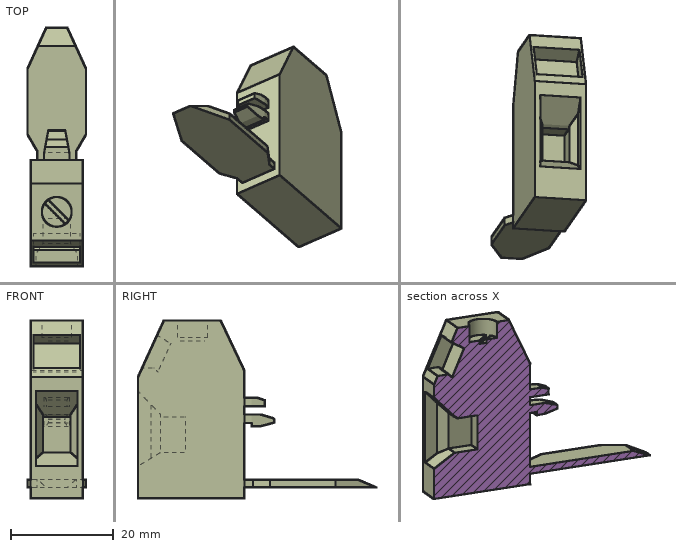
import cadquery as cq

body_width = 10.25
body_depth = 20.75
body_height = 34.7
top_front_y = 5.0
top_back_y = 16.15
front_shoulder_z = 23.7
back_shoulder_z = 24.95

label_width = 9.1
label_bottom_z = 25.4
label_top_z = 31.85
label_ledge_depth = 2.35
label_floor_depth = 3.45
label_ramp_run = 0.75
label_ceiling_drop = 1.67

funnel_width = 8.0
funnel_bottom_z = 6.32
funnel_top_z = 20.92
throat_width = 5.4
throat_bottom_z = 8.97
throat_top_z = 16.35
funnel_straight_depth = 2.5
funnel_depth = 4.4
throat_end_y = 9.3
throat_lip_run = 0.7
throat_end_top_z = 15.9

screw_y = 10.6
well_diameter = 5.8
well_depth = 3.3
slot_width = 0.98
slot_depth = 0.7
slot_angle = -45

blade_bottom_z = 2.15
blade_top_z = 3.67
blade_width = 11.5
blade_neck_width = 7.65
blade_tip_width = 4.15
blade_neck_end_y = 22.45
blade_wide_start_y = 25.7
blade_wide_end_y = 38.45
blade_bevel_y = 42.9
blade_tip_y = 46.5

pin_width = 4.95
pin_tip_width = 3.25
pin_neck_end_y = 22.15
pin_thickness = 1.7
upper_pin_top_z = 19.65
upper_pin_slope_y = 23.2
upper_pin_tip_y = 24.75
upper_pin_tip_top_z = 19.15
lower_pin_top_z = 16.4
lower_pin_slope_y = 23.8
lower_pin_nose_y = 26.3
lower_pin_tip_y = 26.6
lower_pin_nose_top_z = 15.65
lower_pin_tip_top_z = 15.45
lower_pin_tip_bottom_z = 14.85
lower_pin_nose_bottom_z = 14.7
barb_bottom_z = 14.05

root_overlap = 0.45
root_y = body_depth - root_overlap


def side_profile(points, width):
    """Extrude a (Y, Z) outline symmetrically about X = 0."""
    return cq.Workplane("YZ").polyline(points).close().extrude(width / 2, both=True)


def plan_profile(half_outline, bottom_z, top_z):
    """Extrude an outline given as (half width, Y) points mirrored about X = 0."""
    mirrored = [(-x, y) for x, y in reversed(half_outline)]
    plane = cq.Workplane("XY").workplane(offset=bottom_z)
    return plane.polyline(half_outline + mirrored).close().extrude(top_z - bottom_z)


def front_slope_y(z):
    """Y of the sloping front face at height z."""
    return top_front_y * (z - front_shoulder_z) / (body_height - front_shoulder_z)


def make_housing():
    return side_profile(
        [
            (0, 0),
            (body_depth, 0),
            (body_depth, back_shoulder_z),
            (top_back_y, body_height),
            (top_front_y, body_height),
            (0, front_shoulder_z),
        ],
        body_width,
    )


def make_label_recess():
    ceiling_z = label_top_z - label_ceiling_drop
    lean = top_front_y / (body_height - front_shoulder_z)
    ramp_drop = (label_floor_depth - label_ledge_depth - label_ramp_run) / lean
    ledge_end_y = front_slope_y(label_bottom_z) + label_ledge_depth
    return side_profile(
        [
            (front_slope_y(label_bottom_z), label_bottom_z),
            (ledge_end_y, label_bottom_z),
            (ledge_end_y + label_ramp_run, label_bottom_z - ramp_drop),
            (front_slope_y(ceiling_z) + label_floor_depth, ceiling_z),
            (front_slope_y(label_top_z), label_top_z),
        ],
        label_width,
    )


def make_wire_funnel():
    elevation = side_profile(
        [
            (0, funnel_bottom_z),
            (funnel_depth, throat_bottom_z),
            (throat_end_y, throat_bottom_z),
            (throat_end_y, throat_end_top_z),
            (funnel_depth + throat_lip_run, throat_end_top_z),
            (funnel_depth, throat_top_z),
            (0, funnel_top_z),
        ],
        funnel_width,
    )
    plan = plan_profile(
        [
            (funnel_width / 2, 0),
            (funnel_width / 2, funnel_straight_depth),
            (throat_width / 2, funnel_depth),
            (throat_width / 2, throat_end_y),
        ],
        funnel_bottom_z,
        funnel_top_z,
    )
    return elevation.intersect(plan)


def make_screw_well():
    well_floor = cq.Workplane("XY", origin=(0, screw_y, body_height - well_depth))
    well = well_floor.circle(well_diameter / 2).extrude(well_depth)
    slot = (
        well_floor.transformed(rotate=(0, 0, slot_angle))
        .rect(well_diameter, slot_width)
        .extrude(-slot_depth)
    )
    slot_limit = well_floor.circle(well_diameter / 2).extrude(-slot_depth)
    return well.union(slot.intersect(slot_limit))


def make_blade():
    plan = plan_profile(
        [
            (blade_neck_width / 2, root_y),
            (blade_neck_width / 2, blade_neck_end_y),
            (blade_width / 2, blade_wide_start_y),
            (blade_width / 2, blade_wide_end_y),
            (blade_tip_width / 2, blade_tip_y),
        ],
        blade_bottom_z,
        blade_top_z,
    )
    elevation = side_profile(
        [
            (root_y, blade_bottom_z),
            (blade_tip_y, blade_bottom_z),
            (blade_bevel_y, blade_top_z),
            (root_y, blade_top_z),
        ],
        blade_width,
    )
    return plan.intersect(elevation)


def make_pins():
    upper_bottom_z = upper_pin_top_z - pin_thickness
    upper = side_profile(
        [
            (root_y, upper_bottom_z),
            (upper_pin_tip_y, upper_bottom_z),
            (upper_pin_tip_y, upper_pin_tip_top_z),
            (upper_pin_slope_y, upper_pin_top_z),
            (root_y, upper_pin_top_z),
        ],
        pin_width,
    )
    lower_neck_bottom_z = lower_pin_top_z - pin_thickness
    lower = side_profile(
        [
            (root_y, lower_neck_bottom_z),
            (pin_neck_end_y, lower_neck_bottom_z),
            (pin_neck_end_y, barb_bottom_z),
            (lower_pin_slope_y, barb_bottom_z),
            (lower_pin_nose_y, lower_pin_nose_bottom_z),
            (lower_pin_tip_y, lower_pin_tip_bottom_z),
            (lower_pin_tip_y, lower_pin_tip_top_z),
            (lower_pin_nose_y, lower_pin_nose_top_z),
            (lower_pin_slope_y, lower_pin_top_z),
            (root_y, lower_pin_top_z),
        ],
        pin_width,
    )
    plan = plan_profile(
        [
            (pin_width / 2, root_y),
            (pin_width / 2, pin_neck_end_y),
            (pin_tip_width / 2, lower_pin_tip_y),
        ],
        barb_bottom_z,
        upper_pin_top_z,
    )
    return upper.union(lower).intersect(plan)


housing = make_housing().cut(make_label_recess()).cut(make_wire_funnel()).cut(make_screw_well())
result = housing.union(make_blade()).union(make_pins())